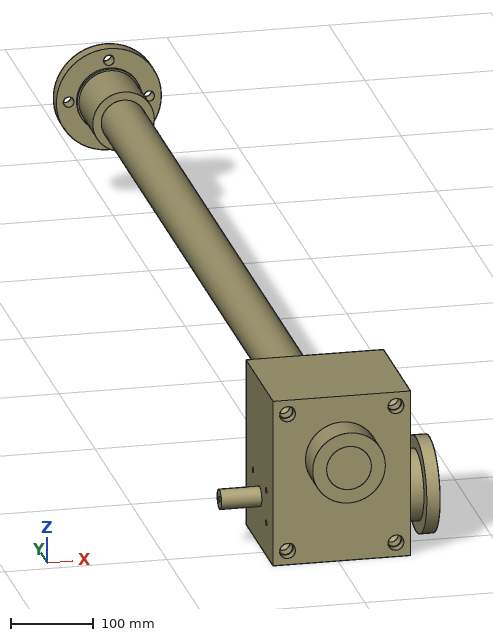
import cadquery as cq

housing_x = 170.0
housing_y = 150.0
housing_z = 211.0
screw_above_center = 28.0
worm_below_center = 43.0
housing_center_z = -screw_above_center
worm_y = housing_y / 2
worm_z = housing_center_z - worm_below_center
housing_left = -housing_x / 2
housing_right = housing_x / 2

tube_d = 90.0
tube_length = 40.0
front_y = -tube_length

bolt_hole_d = 18.0
counterbore_d = 20.0
counterbore_depth = 12.0
bolt_hole_depth = 28.0
bolt_hole_tip_height = 5.0
bolt_spacing_x = 134.0
bolt_spacing_z = 175.0

side_hole_d = 6.6
side_hole_depth = 14.0
side_hole_spacing_y = 75.0
side_hole_spacing_z = 41.0

screw_length = 1380
screw_d = 55.0
groove_d = 45.0
groove_setback = 4.0
groove_width = 4.0

nut_end_setback = 28.0
nut_length = 100.0
nut_d = 76.0
nut_flange_d = 130.0
nut_flange_thickness = 18.0
nut_collar_d = 80.0
nut_collar_length = 4.0
nut_hole_d = 13.0
nut_hole_circle_d = 100.0
nut_hole_count = 4

shaft_d = 25.0
shaft_overhang = 50.0
shaft_center_hole_d = 7.0
shaft_center_hole_depth = 8.0

adapter_length = 40.0
adapter_hub_d = 88.0
adapter_flange_d = 120.0
adapter_flange_thickness = 17.0


def cylinder_y(diameter, y_start, length):
    """Cylinder on the screw axis, growing toward +Y."""
    plane = cq.Plane(origin=(0, y_start, 0), xDir=(1, 0, 0), normal=(0, 1, 0))
    return cq.Workplane(plane).circle(diameter / 2).extrude(length)


def cylinder_x(diameter, x_start, length):
    """Cylinder on the worm axis, growing toward +X."""
    plane = cq.Plane(origin=(x_start, worm_y, worm_z), xDir=(0, 1, 0), normal=(1, 0, 0))
    return cq.Workplane(plane).circle(diameter / 2).extrude(length)


def make_screw():
    """Round screw with a ring groove just behind its front end."""
    screw = cylinder_y(screw_d, front_y, screw_length)
    groove_y = front_y + groove_setback
    ring = cylinder_y(screw_d, groove_y, groove_width)
    ring = ring.cut(cylinder_y(groove_d, groove_y, groove_width))
    return screw.cut(ring)


def make_nut():
    """Round nut with a drilled flange and a short collar below the flange."""
    end_y = front_y + screw_length - nut_end_setback
    flange_y = end_y - nut_flange_thickness
    collar_y = flange_y - nut_collar_length
    nut = cylinder_y(nut_d, end_y - nut_length, nut_length)
    nut = nut.union(cylinder_y(nut_collar_d, collar_y, nut_collar_length))
    nut = nut.union(cylinder_y(nut_flange_d, flange_y, nut_flange_thickness))
    hole_plane = cq.Plane(origin=(0, flange_y, 0), xDir=(1, 0, 0), normal=(0, 1, 0))
    holes = (
        cq.Workplane(hole_plane)
        .polarArray(nut_hole_circle_d / 2, 0, 360, nut_hole_count)
        .circle(nut_hole_d / 2)
        .extrude(nut_flange_thickness)
    )
    return nut.cut(holes).cut(cylinder_y(screw_d, end_y - nut_length, nut_length))


def make_shaft():
    """Input shaft end with a blind center hole, standing on the housing's left face."""
    shaft_left = housing_left - shaft_overhang
    shaft = cylinder_x(shaft_d, shaft_left, shaft_overhang)
    return shaft.cut(cylinder_x(shaft_center_hole_d, shaft_left, shaft_center_hole_depth))


def make_adapter():
    """Motor adapter: a hub on the housing's right face that ends in a flange."""
    flange_x = housing_right + adapter_length - adapter_flange_thickness
    hub = cylinder_x(adapter_hub_d, housing_right, adapter_length)
    return hub.union(cylinder_x(adapter_flange_d, flange_x, adapter_flange_thickness))


def bolt_hole():
    """Counterbored hole with a conical bottom, growing toward +Z from the origin."""
    tip_depth = bolt_hole_depth + bolt_hole_tip_height
    profile = [
        (0, 0),
        (counterbore_d / 2, 0),
        (counterbore_d / 2, counterbore_depth),
        (bolt_hole_d / 2, counterbore_depth),
        (bolt_hole_d / 2, bolt_hole_depth),
        (0, tip_depth),
    ]
    return cq.Workplane("XZ").polyline(profile).close().revolve(360, (0, 0), (0, 1))


def make_housing():
    """Gearbox block with a tube on each end, bored through for the screw."""
    housing = cq.Workplane("XY").box(housing_x, housing_y, housing_z)
    housing = housing.translate((0, housing_y / 2, housing_center_z))
    housing = housing.union(cylinder_y(tube_d, front_y, tube_length))
    housing = housing.union(cylinder_y(tube_d, housing_y, tube_length))

    front = cq.Plane(origin=(0, 0, housing_center_z), xDir=(1, 0, 0), normal=(0, 1, 0))
    bolt_holes = (
        cq.Workplane(front)
        .rarray(bolt_spacing_x, bolt_spacing_z, 2, 2)
        .eachpoint(bolt_hole().val(), useLocalCoordinates=True)
    )
    housing = housing.cut(bolt_holes)

    side = cq.Plane(origin=(housing_left, worm_y, worm_z), xDir=(0, 1, 0), normal=(1, 0, 0))
    side_holes = (
        cq.Workplane(side)
        .rarray(side_hole_spacing_y, side_hole_spacing_z, 2, 2)
        .circle(side_hole_d / 2)
        .extrude(side_hole_depth)
    )
    housing = housing.cut(side_holes)

    bore_length = housing_y + 2 * tube_length
    return housing.cut(cylinder_y(screw_d, front_y, bore_length))


screw = make_screw()
nut = make_nut()
shaft = make_shaft()
adapter = make_adapter()
housing = make_housing()

result = cq.Compound.makeCompound(
    [housing.val(), screw.val(), nut.val(), shaft.val(), adapter.val()]
)